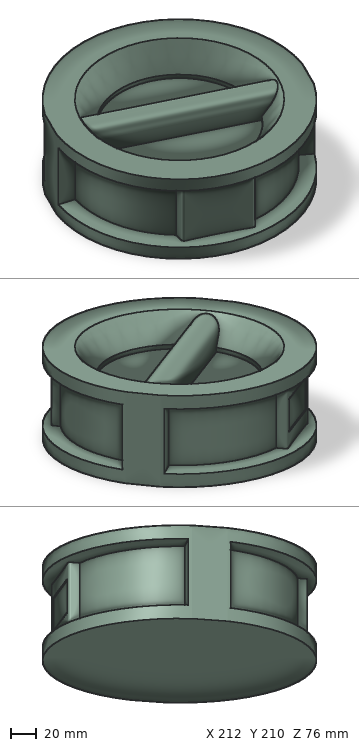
import cadquery as cq
import math

height = 76.0
flange_radius = 106.0
hub_radius = 92.5
flat_to_flat = 210.0

rim_thickness = 11.0
root_thickness = 13.0

rib_width = 33.5

pad_reach = 95.0
pad_base_reach = 86.7
pad_base_width = 64.5
pad_draft = 17.0
pad_edge_radius = 2.8

label_length = 50.5
label_height = 27.1
label_depth = 0.8

seat_top_radius = 81.0
seat_bottom_radius = 64.2
seat_depth = 22.7
disc_depth = 26.3

bar_width = 24.2
bar_top_drop = 2.0


def flanged_body():
    """Spool with two flanges that taper toward the rim."""
    profile = [
        (0, 0),
        (flange_radius, 0),
        (flange_radius, rim_thickness),
        (hub_radius, root_thickness),
        (hub_radius, height - root_thickness),
        (flange_radius, height - rim_thickness),
        (flange_radius, height),
        (0, height),
    ]
    return cq.Workplane("XZ").polyline(profile).close().revolve(360, (0, 0), (0, 1))


def ribs():
    """Block running through the hub; its ends bridge the gap between the flanges."""
    block = cq.Workplane("XY").rect(rib_width, 2 * flange_radius).extrude(height)
    return block.intersect(cq.Workplane("XY").circle(flange_radius).extrude(height))


def pads():
    """Drafted pads on both X sides, tall enough to run into both tapered flanges."""
    half_base = pad_base_width / 2
    half_face = half_base - (pad_reach - pad_base_reach) * math.tan(math.radians(pad_draft))
    outline = [
        (pad_reach, -half_face),
        (pad_reach, half_face),
        (pad_base_reach, half_base),
        (-pad_base_reach, half_base),
        (-pad_reach, half_face),
        (-pad_reach, -half_face),
        (-pad_base_reach, -half_base),
        (pad_base_reach, -half_base),
    ]
    block = (
        cq.Workplane("XY")
        .workplane(offset=rim_thickness)
        .polyline(outline)
        .close()
        .extrude(height - 2 * rim_thickness)
    )
    face_edges = block.faces("<X or >X").edges("|Z")
    return face_edges.fillet(pad_edge_radius)


def label_recess():
    """Block centred on the -X pad face, so half of it sinks into the pad."""
    return cq.Workplane("XY").box(2 * label_depth, label_length, label_height).translate(
        (-pad_reach, 0, height / 2)
    )


def seat_opening():
    """Cone narrowing downward, then a short straight step to the disc."""
    profile = [
        (0, height),
        (seat_top_radius, height),
        (seat_bottom_radius, height - seat_depth),
        (seat_bottom_radius, height - disc_depth),
        (0, height - disc_depth),
    ]
    return cq.Workplane("XZ").polyline(profile).close().revolve(360, (0, 0), (0, 1))


def cross_bar():
    """Bar with a half-round top; the conical seat sets where its ends show."""
    half_width = bar_width / 2
    floor = height - disc_depth
    crest = height - bar_top_drop
    shoulder = crest - half_width
    return (
        cq.Workplane("XZ")
        .moveTo(-half_width, floor)
        .lineTo(-half_width, shoulder)
        .threePointArc((0, crest), (half_width, shoulder))
        .lineTo(half_width, floor)
        .close()
        .extrude(seat_top_radius, both=True)
    )


body = flanged_body().union(ribs()).union(pads())
flat_envelope = cq.Workplane("XY").rect(2 * flange_radius, flat_to_flat).extrude(height)
body = body.intersect(flat_envelope)
result = body.cut(label_recess()).cut(seat_opening().cut(cross_bar()))